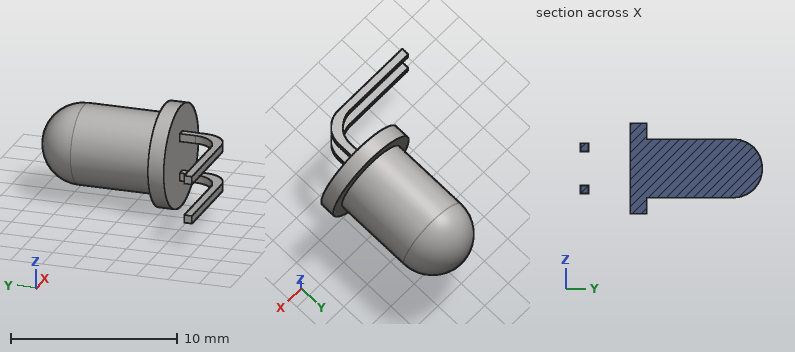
import cadquery as cq

total_length = 11.7
flange_diameter = 6.5
flange_thickness = 1.01
body_diameter = 5.0
lead_width = 0.5
lead_pitch = 2.54
lead_drop = 3.0
lead_reach = 6.75
bend_radius = 1.5

body_radius = body_diameter / 2
dome_base_y = total_length - lead_drop - body_radius
dome_tip_y = dome_base_y + body_radius
dome_mid = body_radius * 0.5 ** 0.5


def make_body():
    """Flange, barrel and hemispherical dome revolved about Y."""
    return (
        cq.Workplane("XY")
        .lineTo(flange_diameter / 2, 0)
        .lineTo(flange_diameter / 2, flange_thickness)
        .lineTo(body_radius, flange_thickness)
        .lineTo(body_radius, dome_base_y)
        .threePointArc((dome_mid, dome_base_y + dome_mid), (0, dome_tip_y))
        .close()
        .revolve(360, (0, 0, 0), (0, 1, 0))
    )


def make_lead(center_z):
    """Square lead leaving the flange along -Y and turning to -X."""
    outer_x = lead_width / 2
    inner_x = -lead_width / 2
    outer_y = -lead_drop
    inner_y = outer_y + lead_width
    return (
        cq.Workplane("XY", origin=(0, 0, center_z - lead_width / 2))
        .moveTo(outer_x, 0)
        .lineTo(outer_x, outer_y + bend_radius)
        .radiusArc((outer_x - bend_radius, outer_y), bend_radius)
        .lineTo(-lead_reach, outer_y)
        .lineTo(-lead_reach, inner_y)
        .lineTo(inner_x - bend_radius, inner_y)
        .radiusArc((inner_x, inner_y + bend_radius), -bend_radius)
        .lineTo(inner_x, 0)
        .close()
        .extrude(lead_width)
    )


result = make_body()
for side in (-1, 1):
    result = result.union(make_lead(side * lead_pitch / 2))